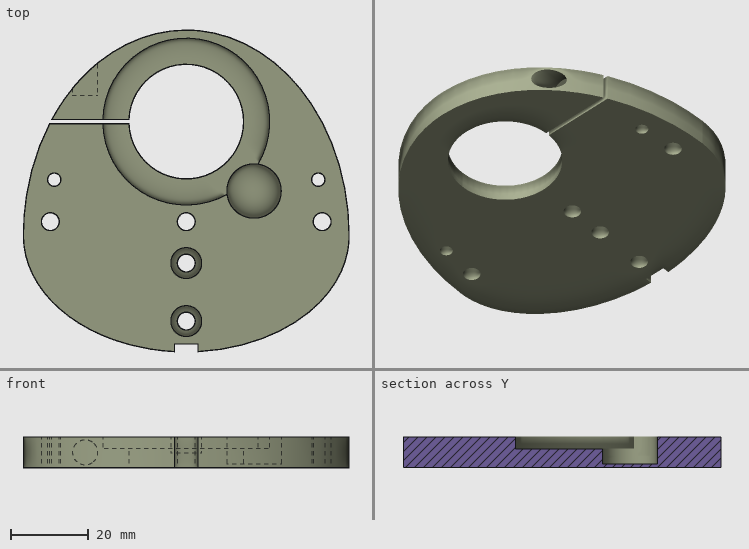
import cadquery as cq

half_width = 42.0
rear_reach = 53.0
front_reach = 30.0
thickness = 8.0

ring_y = 29.4
bore_diameter = 29.5
seat_diameter = 43.0
seat_depth = 3.0
slit_width = 1.0

pocket_x = 17.5
pocket_y = 11.5
pocket_diameter = 14.0
pocket_depth = 7.0

pin_diameter = 3.4
pin_x = 34.0
pin_y = 14.45
screw_diameter = 4.5
screw_x = 35.0
screw_y = 3.6
counterbore_diameter = 8.0
counterbore_depth = 4.2
counterbored_ys = (-7.05, -22.0)

notch_width = 6.0
notch_inner_y = -28.0

clamp_x = -26.0
clamp_diameter = 6.5
clamp_floor_y = 36.1


def vertical_cylinder(x, y, diameter, depth):
    """Cutter that goes down from the top face."""
    sketch = cq.Workplane("XY", origin=(x, y, thickness - depth))
    return sketch.circle(diameter / 2).extrude(depth)


def half_plate(reach, side):
    """Half ellipse on the +Y (side = 1) or -Y (side = -1) side of the X axis."""
    if reach > half_width:
        ellipse = cq.Workplane("XY").ellipse(reach, half_width, rotation_angle=90)
    else:
        ellipse = cq.Workplane("XY").ellipse(half_width, reach)
    keep = cq.Workplane("XY").center(0, side * reach / 2).rect(2 * half_width, reach)
    return ellipse.extrude(thickness).intersect(keep.extrude(thickness))


plate = half_plate(rear_reach, 1).union(half_plate(front_reach, -1))

plate = plate.cut(vertical_cylinder(0, ring_y, seat_diameter, seat_depth))
plate = plate.cut(vertical_cylinder(0, ring_y, bore_diameter, thickness))
slit = cq.Workplane("XY").center(-half_width / 2, ring_y).rect(half_width, slit_width)
plate = plate.cut(slit.extrude(thickness))

plate = plate.cut(vertical_cylinder(pocket_x, pocket_y, pocket_diameter, pocket_depth))

for x in (-pin_x, pin_x):
    plate = plate.cut(vertical_cylinder(x, pin_y, pin_diameter, thickness))
for x in (-screw_x, 0, screw_x):
    plate = plate.cut(vertical_cylinder(x, screw_y, screw_diameter, thickness))

for y in counterbored_ys:
    plate = plate.cut(vertical_cylinder(0, y, screw_diameter, thickness))
    plate = plate.cut(vertical_cylinder(0, y, counterbore_diameter, counterbore_depth))

notch_length = front_reach + notch_inner_y
notch = cq.Workplane("XY").center(0, notch_inner_y - notch_length / 2).rect(notch_width, notch_length)
plate = plate.cut(notch.extrude(thickness))

clamp = cq.Workplane("XZ", origin=(clamp_x, clamp_floor_y, thickness / 2)).circle(clamp_diameter / 2)
plate = plate.cut(clamp.extrude(clamp_floor_y - rear_reach))

result = plate